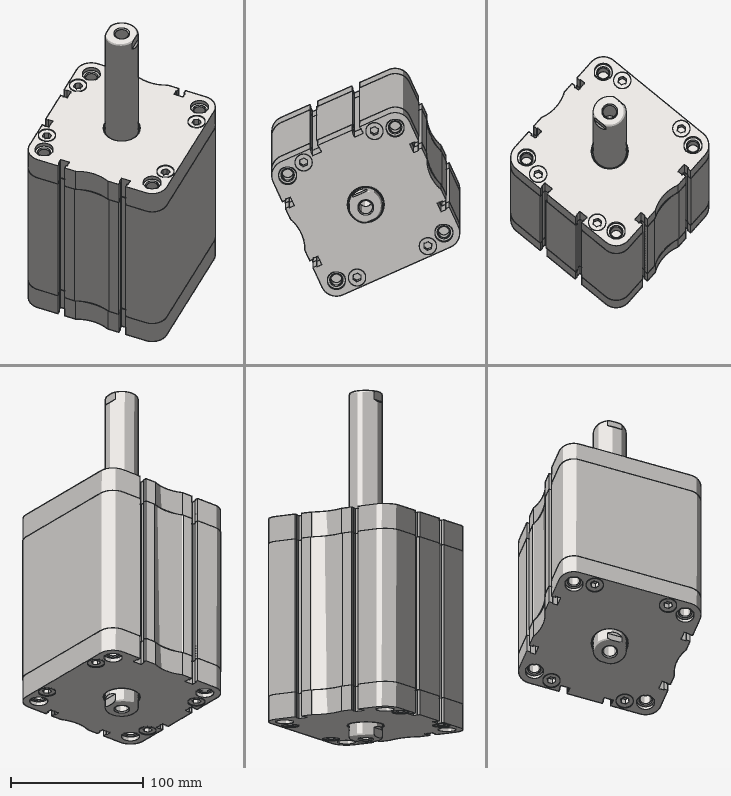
import cadquery as cq
import math

WIDTH = 113.5
CAP_WIDTH = 113.2
TOTAL_HEIGHT = 267.0
ROD_STUB = 10.5
ROD_REACH = 100.0
CAP_HEIGHT = 19.2
CORNER_RADIUS = 12.0

BOTTOM_CAP_Z = ROD_STUB
TOP_CAP_END_Z = TOTAL_HEIGHT - ROD_REACH
TUBE_Z = BOTTOM_CAP_Z + CAP_HEIGHT
TUBE_HEIGHT = TOP_CAP_END_Z - BOTTOM_CAP_Z - 2 * CAP_HEIGHT

SLOT_OFFSET = 25.0
SLOT_OPENING = 5.5
SLOT_UNDERCUT = 7.2
SLOT_LIP = 3.2
SLOT_DEPTH_TUBE = 6.7
SLOT_DEPTH_CAP = 7.2
SIDE_SLOT_LIP = 2.5
SIDE_SLOT_DEPTH = 6.0
SIDE_SLOT_OUTER_EDGE = 20.5
SIDE_SLOT_OPENING_CAP = 6.5
SIDE_SLOT_UNDERCUT_CENTRE = 17.4

HOLLOW_WIDTH = 26.5
HOLLOW_DEPTH_TUBE = 2.5
HOLLOW_DEPTH_CAP = 3.0
HOLLOW_EDGE_WIDTH = 28.3
HOLLOW_EDGE_DEPTH = 0.5

ROD_DIAMETER = 25.0
ROD_END_ROUNDING = 2.0
FLAT_SPACING = 22.2
FLAT_LENGTH = 7.0
ROD_HOLE_DIAMETER = 10.1
ROD_HOLE_MOUTH = 12.0
ROD_HOLE_DEPTH = 26.7
DRILL_POINT_ANGLE = 118.0
ROD_RECESS_DIAMETER = 27.0
ROD_RECESS_MOUTH = 28.0
ROD_RECESS_DEPTH = 2.7

CORNER_HOLE_OFFSET = 44.5
CORNER_BORE_DIAMETER = 13.5
CORNER_BORE_DEPTH = 3.2
CORNER_HOLE_MOUTH = 10.1
CORNER_HOLE_DIAMETER = 8.5
CORNER_HOLE_DEPTH = 13.4
SCREW_X = 48.9
SCREW_Y = 29.5
SCREW_RECESS_DIAMETER = 13.0
SCREW_RECESS_DEPTH = 0.8
SOCKET_ACROSS_FLATS = 6.0
SOCKET_DEPTH = 5.3

SIDES = (-1, 1)


def cylinder(diameter, z_from, z_to):
    return cq.Workplane("XY").workplane(offset=z_from).circle(diameter / 2).extrude(z_to - z_from)


def cone_below(z_top, mouth, diameter):
    """A 45 degree countersink that narrows downwards from its mouth."""
    depth = (mouth - diameter) / 2
    solid = cq.Solid.makeCone(diameter / 2, mouth / 2, depth, cq.Vector(0, 0, z_top - depth))
    return cq.Workplane(solid)


def four_corners(cutter, x, y):
    """The cutter repeated at the four points (+-x, +-y)."""
    copies = cq.Workplane("XY")
    for side_x in SIDES:
        for side_y in SIDES:
            copies = copies.add(cutter.translate((side_x * x, side_y * y, 0)))
    return copies.vals()


def cut_all(body, cutters):
    for cutter in cutters:
        body = body.cut(cq.Workplane(cutter))
    return body


def block(x_from, x_to, y_from, y_to, height):
    size_x = x_to - x_from
    size_y = y_to - y_from
    solid = cq.Workplane("XY").box(size_x, size_y, height, centered=False)
    return solid.translate((x_from, y_from, 0))


def long_slots(depth, height):
    """T-slots of the -Y and +Y sides."""
    half = WIDTH / 2
    slots = []
    for side in SIDES:
        centre = side * SLOT_OFFSET
        mouth = block(centre - SLOT_OPENING / 2, centre + SLOT_OPENING / 2, -half, -half + depth, height)
        undercut = block(
            centre - SLOT_UNDERCUT / 2, centre + SLOT_UNDERCUT / 2,
            -half + SLOT_LIP, -half + depth, height,
        )
        slot = mouth.union(undercut)
        slots += [slot.val(), slot.mirror("XZ").val()]
    return slots


def side_slots(opening, height):
    """T-slots of the -X side; their openings share the outer edge and differ in width."""
    half = WIDTH / 2
    mouth = block(-half, -half + SIDE_SLOT_DEPTH, SIDE_SLOT_OUTER_EDGE - opening, SIDE_SLOT_OUTER_EDGE, height)
    undercut = block(
        -half + SIDE_SLOT_LIP, -half + SIDE_SLOT_DEPTH,
        SIDE_SLOT_UNDERCUT_CENTRE - SLOT_UNDERCUT / 2, SIDE_SLOT_UNDERCUT_CENTRE + SLOT_UNDERCUT / 2, height,
    )
    slot = mouth.union(undercut)
    return [slot.val(), slot.mirror("XZ").val()]


def tube_hollow():
    """Outline of the -Y hollow in the tube: an arc between two bevelled edges."""
    side_y = -WIDTH / 2
    return (
        cq.Workplane("XY")
        .moveTo(-HOLLOW_EDGE_WIDTH / 2, side_y)
        .lineTo(-HOLLOW_WIDTH / 2, side_y + HOLLOW_EDGE_DEPTH)
        .threePointArc((0, side_y + HOLLOW_DEPTH_TUBE), (HOLLOW_WIDTH / 2, side_y + HOLLOW_EDGE_DEPTH))
        .lineTo(HOLLOW_EDGE_WIDTH / 2, side_y)
        .close()
    )


def cap_hollow():
    """Outline of the -Y hollow in a cap: a plain arc."""
    side_y = -CAP_WIDTH / 2
    return (
        cq.Workplane("XY")
        .moveTo(-HOLLOW_WIDTH / 2, side_y)
        .threePointArc((0, side_y + HOLLOW_DEPTH_CAP), (HOLLOW_WIDTH / 2, side_y))
        .close()
    )


def profile_block(width, slot_depth, side_opening, hollow_outline, height):
    """Rounded square prism with the slots and hollows of the housing, standing on Z = 0."""
    body = cq.Workplane("XY").box(width, width, height, centered=(True, True, False))
    body = body.edges("|Z").fillet(CORNER_RADIUS)
    body = cut_all(body, long_slots(slot_depth, height))
    body = cut_all(body, side_slots(side_opening, height))
    hollow = hollow_outline.extrude(height)
    body = cut_all(body, [hollow.val(), hollow.mirror("XZ").val()])
    return body.cut(cylinder(ROD_DIAMETER, 0, height))


def make_tube():
    tube = profile_block(WIDTH, SLOT_DEPTH_TUBE, SLOT_OPENING, tube_hollow(), TUBE_HEIGHT)
    return tube.translate((0, 0, TUBE_Z))


def corner_hole_cutter():
    ledge_z = CAP_HEIGHT - CORNER_BORE_DEPTH
    bore = cylinder(CORNER_BORE_DIAMETER, ledge_z, CAP_HEIGHT)
    hole = cylinder(CORNER_HOLE_DIAMETER, CAP_HEIGHT - CORNER_HOLE_DEPTH, CAP_HEIGHT)
    return bore.union(hole).union(cone_below(ledge_z, CORNER_HOLE_MOUTH, CORNER_HOLE_DIAMETER)).val()


def screw_recess_cutter():
    """Round recess with a hexagon socket whose points face -Y and +Y."""
    recess = cylinder(SCREW_RECESS_DIAMETER, CAP_HEIGHT - SCREW_RECESS_DEPTH, CAP_HEIGHT)
    across_points = SOCKET_ACROSS_FLATS / math.cos(math.pi / 6)
    socket = cq.Workplane("XY").polygon(6, across_points).extrude(SOCKET_DEPTH + SCREW_RECESS_DEPTH)
    socket = socket.rotate((0, 0, 0), (0, 0, 1), 90)
    socket = socket.translate((0, 0, CAP_HEIGHT - SCREW_RECESS_DEPTH - SOCKET_DEPTH))
    return recess.union(socket).val()


def make_cap():
    """End cap standing on Z = 0 with its outer face upwards."""
    cap = profile_block(CAP_WIDTH, SLOT_DEPTH_CAP, SIDE_SLOT_OPENING_CAP, cap_hollow(), CAP_HEIGHT)
    cap = cap.cut(cylinder(ROD_RECESS_DIAMETER, CAP_HEIGHT - ROD_RECESS_DEPTH, CAP_HEIGHT))
    cap = cap.cut(cone_below(CAP_HEIGHT, ROD_RECESS_MOUTH, ROD_RECESS_DIAMETER))
    cap = cut_all(cap, four_corners(corner_hole_cutter(), CORNER_HOLE_OFFSET, CORNER_HOLE_OFFSET))
    return cut_all(cap, four_corners(screw_recess_cutter(), SCREW_X, SCREW_Y))


def rod_end_cutters():
    """Wrench flats and drilled hole of the upper rod end."""
    cutters = []
    step = (ROD_DIAMETER - FLAT_SPACING) / 2
    flat_z = TOTAL_HEIGHT - FLAT_LENGTH
    flat = (
        cq.Workplane("XZ")
        .moveTo(FLAT_SPACING / 2, TOTAL_HEIGHT)
        .lineTo(FLAT_SPACING / 2, flat_z)
        .lineTo(FLAT_SPACING / 2 + step, flat_z - step)
        .lineTo(FLAT_SPACING / 2 + step, TOTAL_HEIGHT)
        .close()
        .extrude(ROD_DIAMETER / 2, both=True)
    )
    cutters += [flat.val(), flat.mirror("YZ").val()]

    hole_z = TOTAL_HEIGHT - ROD_HOLE_DEPTH
    hole_radius = ROD_HOLE_DIAMETER / 2
    point_depth = hole_radius / math.tan(math.radians(DRILL_POINT_ANGLE / 2))
    point = cq.Solid.makeCone(0, hole_radius, point_depth, cq.Vector(0, 0, hole_z - point_depth))
    hole = cylinder(ROD_HOLE_DIAMETER, hole_z, TOTAL_HEIGHT).union(cq.Workplane(point))
    hole = hole.union(cone_below(TOTAL_HEIGHT, ROD_HOLE_MOUTH, ROD_HOLE_DIAMETER))
    return cutters + [hole.val()]


def make_rod():
    """Piston rod through the whole housing, with both ends shaped alike."""
    rod = cylinder(ROD_DIAMETER, 0, TOTAL_HEIGHT).faces("<Z or >Z").fillet(ROD_END_ROUNDING)
    for cutter in rod_end_cutters():
        rod = rod.cut(cq.Workplane(cutter))
        rod = rod.cut(cq.Workplane(cutter).mirror("XY").translate((0, 0, TOTAL_HEIGHT)))
    return rod


tube = make_tube()
cap = make_cap()
top_cap = cap.translate((0, 0, TUBE_Z + TUBE_HEIGHT))
bottom_cap = cap.mirror("XY").translate((0, 0, TUBE_Z))
rod = make_rod()

result = cq.Compound.makeCompound([tube.val(), top_cap.val(), bottom_cap.val(), rod.val()])